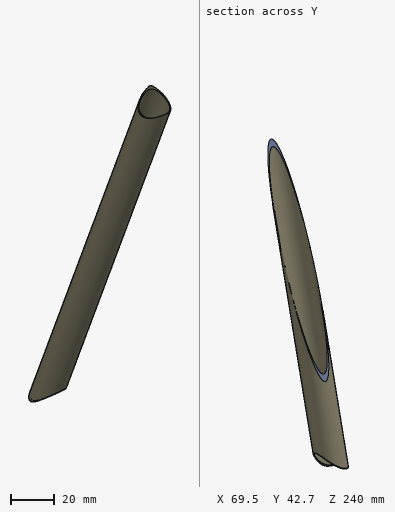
import cadquery as cq
TUBE_OUTER_RADIUS = 7.52
TUBE_WALL = 0.5
TUBE_SLOPE_X = 0.2335
TUBE_SLOPE_Y = 0.1195
TUBE_MIDPOINT = cq.Vector(0.54, 0.46, 0.0)
TUBE_BLANK_LENGTH = 300.0

UPPER_COPE_RADIUS = 7.87
UPPER_COPE_CENTER = cq.Vector(28.56, 14.63, 118.49)
UPPER_COPE_AXIS = cq.Vector(0.008, 1.0, -0.008)

LOWER_COPE_RADIUS = 11.34
LOWER_COPE_CENTER = cq.Vector(-29.21, -12.27, -127.44)
LOWER_COPE_AXIS = cq.Vector(0.864, 0.078, 0.497)

COPE_CUTTER_LENGTH = 120.0

TUBE_AXIS = cq.Vector(TUBE_SLOPE_X, TUBE_SLOPE_Y, 1.0).normalized()
TUBE_SIDE = cq.Vector(TUBE_SLOPE_Y, -TUBE_SLOPE_X, 0.0)


def tube_blank():
    """Straight hollow tube, still too long at both ends."""
    bore_radius = TUBE_OUTER_RADIUS - TUBE_WALL
    start = TUBE_MIDPOINT - TUBE_AXIS * (TUBE_BLANK_LENGTH / 2)
    section_plane = cq.Plane(start, TUBE_SIDE, TUBE_AXIS)
    section = cq.Workplane(section_plane).circle(TUBE_OUTER_RADIUS).circle(bore_radius)
    return section.extrude(TUBE_BLANK_LENGTH)


def cut_cope(tube, radius, center, axis):
    """Notch the tube with a crossing cylinder and drop the offcut beyond it."""
    start = center - axis.normalized() * (COPE_CUTTER_LENGTH / 2)
    cutter = cq.Solid.makeCylinder(radius, COPE_CUTTER_LENGTH, start, axis)
    pieces = tube.cut(cq.Workplane(cutter)).solids().vals()
    return cq.Workplane(max(pieces, key=lambda piece: piece.Volume()))


tube = tube_blank()
tube = cut_cope(tube, UPPER_COPE_RADIUS, UPPER_COPE_CENTER, UPPER_COPE_AXIS)
result = cut_cope(tube, LOWER_COPE_RADIUS, LOWER_COPE_CENTER, LOWER_COPE_AXIS)